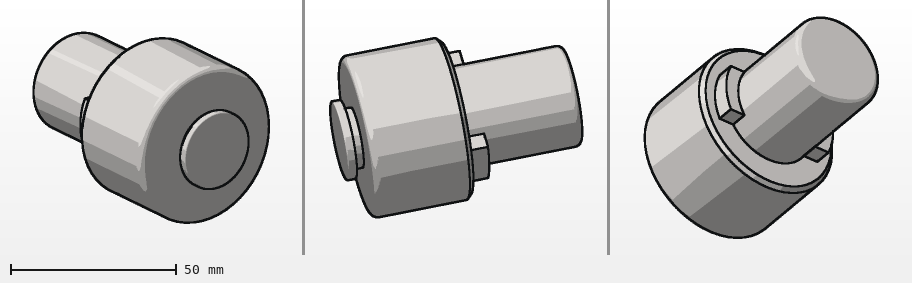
import cadquery as cq

total_length = 72.1
body_start = 36.1
body_end = 66.7
key_length = 5.8
flange_thickness = 2.7
flange_start = total_length - flange_thickness

shaft_diameter = 31.0
body_diameter = 49.8
neck_diameter = 18.6
flange_diameter = 24.4
key_outer_diameter = 39.95
key_width = 16.4

large_fillet = 2.0
body_chamfer = 1.45
neck_fillet = 0.7
flange_inner_fillet = 0.3
flange_outer_fillet = 0.4


def cylinder(start, end, diameter):
    """Solid cylinder along the X axis from start to end."""
    return cq.Workplane("YZ", origin=(start, 0, 0)).circle(diameter / 2).extrude(end - start)


shaft = cylinder(0, body_start, shaft_diameter).faces("<X").edges().fillet(large_fillet)

body = cylinder(body_start, body_end, body_diameter)
body = body.faces("<X").edges().chamfer(body_chamfer)
body = body.faces(">X").edges().fillet(large_fillet)

key_start = body_start - key_length
key_bar = cq.Workplane("YZ", origin=(key_start, 0, 0)).rect(key_outer_diameter, key_width).extrude(key_length)
keys = cylinder(key_start, body_start, key_outer_diameter).intersect(key_bar)

neck = cylinder(body_end, flange_start, neck_diameter)
flange = cylinder(flange_start, total_length, flange_diameter)
flange = flange.faces("<X").edges().fillet(flange_inner_fillet)
flange = flange.faces(">X").edges().fillet(flange_outer_fillet)
neck_corner = cq.selectors.RadiusNthSelector(0)
tail = neck.union(flange).faces("<X[-2]").edges(neck_corner).fillet(neck_fillet)

result = shaft.union(keys).union(body).union(tail)